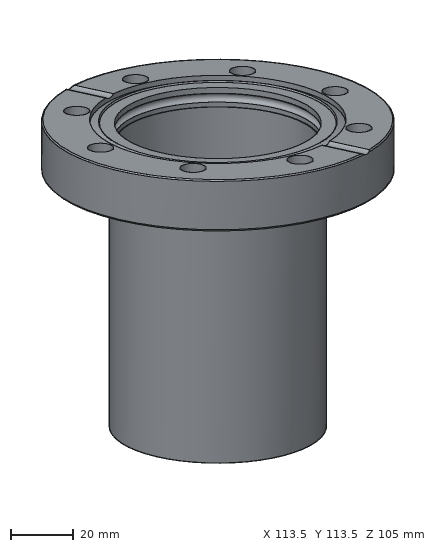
import cadquery as cq
import math

OVERALL_HEIGHT = 105.0

FLANGE_DIAMETER = 113.5
FLANGE_THICKNESS = 17.7
TOP_CHAMFER = 0.5
BOTTOM_CHAMFER = 0.7
FLANGE_BORE = 66.5

RECESS_DIAMETER = 82.5
RECESS_DEPTH = 1.8
KNIFE_DIAMETER = 76.8
KNIFE_TIP_DEPTH = 0.7
KNIFE_ROOT_DIAMETER = 76.2
SEAT_DEPTH = 1.2

LIP_HEIGHT = 2.0
GROOVE_RADIUS = 1.5
WELD_LIP_HEIGHT = 1.6

BOLT_COUNT = 8
BOLT_DIAMETER = 8.4
BOLT_CIRCLE = 92.2

CHANNEL_WIDTH = 4.5
CHANNEL_DEPTH = 0.8

TUBE_DIAMETER = 70.0
TUBE_BORE = 66.0
SOCKET_DIAMETER = 70.3

GROOVE_TOP_Z = -SEAT_DEPTH - LIP_HEIGHT
GROOVE_BOTTOM_Z = GROOVE_TOP_Z - 2 * GROOVE_RADIUS
TUBE_TOP_Z = GROOVE_BOTTOM_Z - WELD_LIP_HEIGHT


def flange_ring():
    """Revolved flange with the recess, knife edge, bore groove and tube socket."""
    outer = FLANGE_DIAMETER / 2
    bore = FLANGE_BORE / 2
    socket = SOCKET_DIAMETER / 2
    recess = RECESS_DIAMETER / 2
    groove_middle = (bore + GROOVE_RADIUS, GROOVE_TOP_Z - GROOVE_RADIUS)
    return (
        cq.Workplane("XZ")
        .moveTo(socket, -FLANGE_THICKNESS)
        .lineTo(outer - BOTTOM_CHAMFER, -FLANGE_THICKNESS)
        .lineTo(outer, -FLANGE_THICKNESS + BOTTOM_CHAMFER)
        .lineTo(outer, -TOP_CHAMFER)
        .lineTo(outer - TOP_CHAMFER, 0)
        .lineTo(recess, 0)
        .lineTo(recess, -RECESS_DEPTH)
        .lineTo(KNIFE_DIAMETER / 2, -KNIFE_TIP_DEPTH)
        .lineTo(KNIFE_ROOT_DIAMETER / 2, -SEAT_DEPTH)
        .lineTo(bore, -SEAT_DEPTH)
        .lineTo(bore, GROOVE_TOP_Z)
        .threePointArc(groove_middle, (bore, GROOVE_BOTTOM_Z))
        .lineTo(bore, TUBE_TOP_Z)
        .lineTo(socket, TUBE_TOP_Z)
        .close()
        .revolve(360, (0, 0, 0), (0, 1, 0))
    )


def bolt_holes():
    """Through holes straddling the X and Y axes."""
    half_pitch = 180 / BOLT_COUNT
    return (
        cq.Workplane("XY")
        .polarArray(BOLT_CIRCLE / 2, half_pitch, 360, BOLT_COUNT)
        .circle(BOLT_DIAMETER / 2)
        .extrude(-FLANGE_THICKNESS)
    )


def leak_channel(angle):
    """Round-bottomed channel from the gasket recess out to the rim."""
    radius = (CHANNEL_WIDTH**2 / 4 + CHANNEL_DEPTH**2) / (2 * CHANNEL_DEPTH)
    start = math.sqrt((RECESS_DIAMETER / 2)**2 - (CHANNEL_WIDTH / 2)**2)
    return (
        cq.Workplane("YZ", origin=(start, 0, 0))
        .center(0, radius - CHANNEL_DEPTH)
        .circle(radius)
        .extrude(FLANGE_DIAMETER / 2)
        .rotate((0, 0, 0), (0, 0, 1), angle)
    )


def make_flange():
    flange = flange_ring().cut(bolt_holes())
    for angle in (0, 180):
        flange = flange.cut(leak_channel(angle))
    return flange


def make_tube():
    """Plain tube butting against the shoulder at the top of the socket."""
    return (
        cq.Workplane("XY", origin=(0, 0, TUBE_TOP_Z))
        .circle(TUBE_DIAMETER / 2)
        .circle(TUBE_BORE / 2)
        .extrude(-(OVERALL_HEIGHT + TUBE_TOP_Z))
    )


flange = make_flange()
tube = make_tube()
result = cq.Compound.makeCompound([flange.val(), tube.val()])